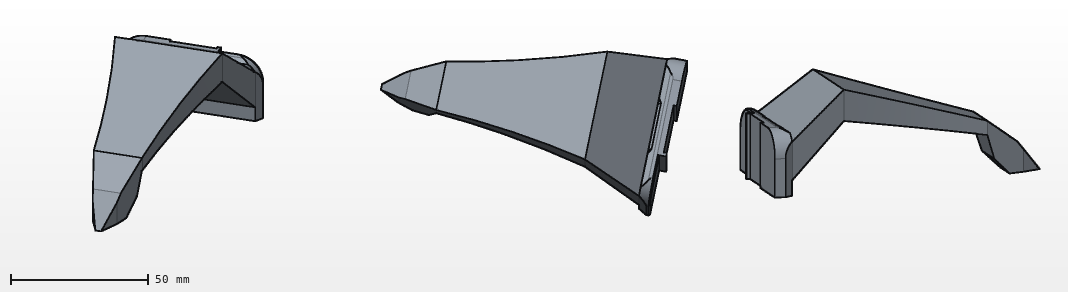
import cadquery as cq

LENGTH = 108.2
HEIGHT = 37.3

PLATE_WIDTH = 56.0
PLATE_HEIGHT = 24.3
PLATE_DEPTH = 7.0
PLATE_CORNER = 9.8
BEVEL_DEPTH = 3.0
BEVEL_SIDE = 1.8
PLATE_FRONT = LENGTH - PLATE_DEPTH

TOP_BEVEL_BACK = 104.7
TOP_BREAK_Y = 103.4
TOP_BREAK_Z = 24.0
TOP_FRONT_Z = 22.8

RECESS_START = -8.7
RIDGE_START = 9.3
RIDGE_END = 10.7
RECESS_DEPTH = 1.2
STEP_DEPTH = 2.6
EDGE_BREAK = 0.5

GROOVE_RADIUS = 1.4
GROOVE_HALF = 8.7
GROOVE_TAPER = 3.1
GROOVE_Y = 100.9
GROOVE_Z = 23.5

BEND_Y = 79.9
CLAW_Y = 22.3
WAIST_Y = (BEND_Y + CLAW_Y) / 2
CLAW_BREAK_Y = 9.8
TIP_FLANK_Y = 7.4
HEEL_Y = 19.4
TOE_Y = 13.0

ROOT_TOP = 20.1
ROOT_BOTTOM = 5.7
BEND_BOTTOM = 25.6
CLAW_TOP = 20.7
CLAW_BOTTOM = 15.4
CLAW_BREAK_TOP = 11.7
HEEL_BOTTOM = 6.2

ROOT_HALF = 26.2
BEND_HALF = 20.7
WAIST_HALF = 13.7
CLAW_HALF = 9.3
FLANK_HALF = 4.7
TIP_HALF = 1.1


def plate_blank():
    """Upright slab with two rounded top corners."""
    half = PLATE_WIDTH / 2
    shoulder = PLATE_HEIGHT - PLATE_CORNER
    return (
        cq.Workplane("XZ", origin=(0, LENGTH, 0))
        .moveTo(-half, 0)
        .lineTo(half, 0)
        .lineTo(half, shoulder)
        .radiusArc((half - PLATE_CORNER, PLATE_HEIGHT), -PLATE_CORNER)
        .lineTo(PLATE_CORNER - half, PLATE_HEIGHT)
        .radiusArc((-half, shoulder), -PLATE_CORNER)
        .close()
        .extrude(PLATE_DEPTH)
    )


def side_bevel_trim():
    """Block with the plan outline left between the two flat side bevels."""
    half = PLATE_WIDTH / 2
    front_half = half - BEVEL_SIDE
    bevel_back = PLATE_FRONT + BEVEL_DEPTH
    return (
        cq.Workplane("XY")
        .polyline([
            (-front_half, PLATE_FRONT),
            (front_half, PLATE_FRONT),
            (half, bevel_back),
            (half, LENGTH),
            (-half, LENGTH),
            (-half, bevel_back),
        ])
        .close()
        .extrude(PLATE_HEIGHT)
    )


def top_bevel_trim():
    """Block with the side profile left below the two-slope top bevel."""
    return (
        cq.Workplane("YZ")
        .polyline([
            (PLATE_FRONT, 0),
            (LENGTH, 0),
            (LENGTH, PLATE_HEIGHT),
            (TOP_BEVEL_BACK, PLATE_HEIGHT),
            (TOP_BREAK_Y, TOP_BREAK_Z),
            (PLATE_FRONT, TOP_FRONT_Z),
        ])
        .close()
        .extrude(PLATE_WIDTH / 2, both=True)
    )


def back_cut(x_start, x_end, depth):
    """Full-height block that lowers part of the plate's back."""
    return cq.Workplane("XY").box(
        x_end - x_start, depth, PLATE_HEIGHT, centered=False
    ).translate((x_start, LENGTH - depth, 0))


def make_groove():
    """Round groove along X, running out to a point at each end."""
    end = GROOVE_HALF + GROOVE_TAPER
    return (
        cq.Workplane("XY")
        .polyline([
            (-end, 0),
            (-GROOVE_HALF, GROOVE_RADIUS),
            (GROOVE_HALF, GROOVE_RADIUS),
            (end, 0),
        ])
        .close()
        .revolve(360, (0, 0, 0), (1, 0, 0))
        .translate((0, GROOVE_Y, GROOVE_Z))
    )


def make_plate():
    body = plate_blank()
    body = body.cut(back_cut(RECESS_START, RIDGE_START, RECESS_DEPTH))
    body = body.cut(back_cut(RIDGE_END, PLATE_WIDTH / 2, STEP_DEPTH))
    step_y = LENGTH - STEP_DEPTH
    step_edges = cq.selectors.BoxSelector(
        (RIDGE_END + EDGE_BREAK, step_y - EDGE_BREAK, EDGE_BREAK),
        (PLATE_WIDTH, step_y + EDGE_BREAK, HEIGHT),
    )
    body = body.edges(step_edges).chamfer(EDGE_BREAK)
    body = body.intersect(side_bevel_trim()).intersect(top_bevel_trim())
    return body.cut(make_groove())


def make_arm():
    """Bent arm and claw: side profile trimmed by the tapering plan outline."""
    profile = [
        (PLATE_FRONT, ROOT_TOP),
        (BEND_Y, HEIGHT),
        (CLAW_Y, CLAW_TOP),
        (CLAW_BREAK_Y, CLAW_BREAK_TOP),
        (0, 0),
        (TOE_Y, 0),
        (HEEL_Y, HEEL_BOTTOM),
        (CLAW_Y, CLAW_BOTTOM),
        (BEND_Y, BEND_BOTTOM),
        (PLATE_FRONT, ROOT_BOTTOM),
    ]
    side = cq.Workplane("YZ").polyline(profile).close().extrude(PLATE_WIDTH / 2, both=True)
    half_plan = (
        cq.Workplane("XY")
        .moveTo(0, PLATE_FRONT)
        .lineTo(ROOT_HALF, PLATE_FRONT)
        .lineTo(BEND_HALF, BEND_Y)
        .threePointArc((WAIST_HALF, WAIST_Y), (CLAW_HALF, CLAW_Y))
        .lineTo(FLANK_HALF, TIP_FLANK_Y)
        .lineTo(TIP_HALF, 0)
        .lineTo(0, 0)
        .close()
        .extrude(HEIGHT)
    )
    plan = half_plan.union(half_plan.mirror("YZ"))
    return side.intersect(plan)


result = make_plate().union(make_arm())